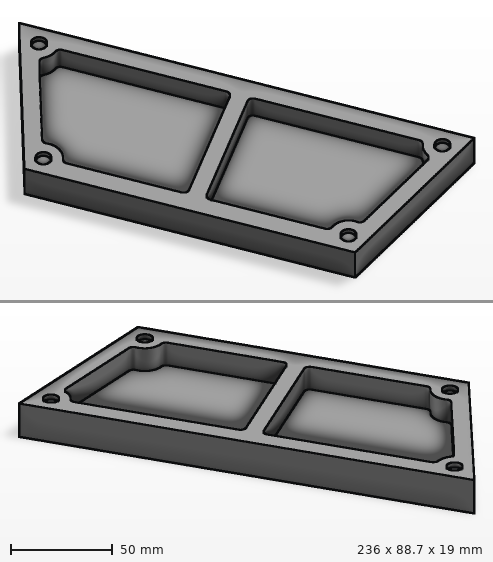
import cadquery as cq
import math

length = 236
width = 88.7
height = 19.0
side_angle = 20
wall = 10.0
side_wall = 9.2
web = 9.2
pocket_depth = 13.0
corner_radius = 2.8

hole_diameter = 8.0
hole_depth = 2.8
hole_inset = 9.5
pad_radius = 9.7
back_hole_x = 104.5
front_hole_x = 79.0

slope = math.tan(math.radians(side_angle))
side_wall_x = side_wall / math.cos(math.radians(side_angle))
hole_y = width / 2 - hole_inset
pocket_floor = height - pocket_depth


def outer_half_length(y):
    """Distance from the YZ plane to the slanted side at a given y."""
    return length / 2 - (width / 2 - y) * slope


def make_body():
    back = width / 2
    front = -width / 2
    return (
        cq.Workplane("XY")
        .moveTo(-outer_half_length(back), back)
        .lineTo(outer_half_length(back), back)
        .lineTo(outer_half_length(front), front)
        .lineTo(-outer_half_length(front), front)
        .close()
        .extrude(height)
    )


def make_right_pocket():
    """Pocket volume on the +X side, with the two screw pads left standing."""
    back = width / 2 - wall
    front = -back
    pocket = (
        cq.Workplane("XY", origin=(0, 0, pocket_floor))
        .moveTo(web / 2, back)
        .lineTo(outer_half_length(back) - side_wall_x, back)
        .lineTo(outer_half_length(front) - side_wall_x, front)
        .lineTo(web / 2, front)
        .close()
        .extrude(pocket_depth)
    )
    pads = (
        cq.Workplane("XY")
        .pushPoints([(back_hole_x, hole_y), (front_hole_x, -hole_y)])
        .circle(pad_radius)
        .extrude(height)
    )
    return pocket.cut(pads).edges("|Z").fillet(corner_radius)


def make_holes():
    centres = []
    for side in (-1, 1):
        centres.append((side * back_hole_x, hole_y))
        centres.append((side * front_hole_x, -hole_y))
    return (
        cq.Workplane("XY", origin=(0, 0, height - hole_depth))
        .pushPoints(centres)
        .circle(hole_diameter / 2)
        .extrude(hole_depth)
    )


right_pocket = make_right_pocket()
left_pocket = right_pocket.mirror("YZ")
result = make_body().cut(right_pocket).cut(left_pocket).cut(make_holes())